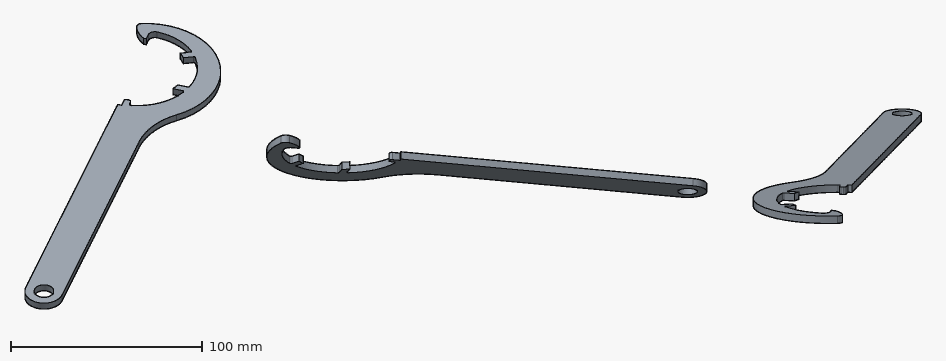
import cadquery as cq
import math

thickness = 4.0
overall_length = 239.0
handle_width = 20.0
handle_half = handle_width / 2
hole_diameter = 10.3

outer_radius = 39.7
outer_x = -4.8
outer_y = overall_length - handle_half - outer_radius
bore_radius = 31.3
bore_x = -9.3
bore_y = 191.0
neck_radius = 36.5

hook_end_x = -18.2
hook_side = (-19.8, 222.5)
claw_bulge = (-17.5, 218.5)
claw_y = 215.0
claw_left_x = -13.6
claw_right_x = -12.2
claw_root_fillet = 3.5

shoulder_y = 159.0
nose_left_x = -8.0
nose_right_x = -4.3
nose_top_y = 164.2
nose_fillet = 1.2

tooth_tip_radius = 25.3
tooth_root_fillet = 0.7
teeth = [(26.5, 6.5, 4.0), (0.0, -9.0, 3.8)]


def circle_height(radius, dx):
    """Half-chord of a circle at distance dx from its centre."""
    return math.sqrt(radius**2 - dx**2)


def round_corner(body, corner, radius):
    """Fillet the upright edge at an outline corner."""
    edge_middle = (*corner, thickness / 2)
    return body.edges(cq.selectors.NearestToPointSelector(edge_middle)).fillet(radius)


def make_body():
    """Handle, neck and hook as one extruded outline."""
    neck_x = handle_half + neck_radius
    centre_distance = outer_radius + neck_radius
    neck_y = outer_y - circle_height(centre_distance, neck_x - outer_x)
    share = outer_radius / centre_distance
    neck_top = (outer_x + share * (neck_x - outer_x), outer_y + share * (neck_y - outer_y))
    neck_angle = (math.pi + math.atan2(neck_top[1] - neck_y, neck_top[0] - neck_x)) / 2
    neck_middle = (
        neck_x + neck_radius * math.cos(neck_angle),
        neck_y + neck_radius * math.sin(neck_angle),
    )

    hook_end_y = outer_y + circle_height(outer_radius, hook_end_x - outer_x)
    bore_top_y = bore_y + circle_height(bore_radius, claw_right_x - bore_x)
    bore_foot_y = bore_y - circle_height(bore_radius, nose_right_x - bore_x)

    body = (
        cq.Workplane("XY")
        .moveTo(-handle_half, 0)
        .threePointArc((0, -handle_half), (handle_half, 0))
        .lineTo(handle_half, neck_y)
        .threePointArc(neck_middle, neck_top)
        .threePointArc((outer_x + outer_radius, outer_y), (outer_x, outer_y + outer_radius))
        .tangentArcPoint((hook_end_x, hook_end_y), relative=False)
        .tangentArcPoint(hook_side, relative=False)
        .threePointArc(claw_bulge, (claw_left_x, claw_y))
        .lineTo(claw_right_x, claw_y)
        .lineTo(claw_right_x, bore_top_y)
        .threePointArc((bore_x + bore_radius, bore_y), (nose_right_x, bore_foot_y))
        .lineTo(nose_right_x, nose_top_y)
        .lineTo(nose_left_x, nose_top_y)
        .lineTo(nose_left_x, shoulder_y)
        .lineTo(-handle_half, shoulder_y)
        .close()
        .extrude(thickness)
    )
    body = round_corner(body, (claw_right_x, bore_top_y), claw_root_fillet)
    for corner in (
        (nose_right_x, bore_foot_y),
        (nose_right_x, nose_top_y),
        (nose_left_x, nose_top_y),
    ):
        body = round_corner(body, corner, nose_fillet)
    return body


def add_tooth(body, angle, offset, width):
    """Add a straight tooth whose tip lies on a circle concentric with the bore."""
    root_radius = (bore_radius + outer_radius) / 2
    tip_space = cq.Workplane("XY").circle(tooth_tip_radius).extrude(thickness)
    tooth = (
        cq.Workplane("XY")
        .center(root_radius / 2, offset)
        .rect(root_radius, width)
        .extrude(thickness)
        .cut(tip_space)
        .rotate((0, 0, 0), (0, 0, 1), angle)
        .translate((bore_x, bore_y, 0))
    )
    body = body.union(tooth)

    turn = math.radians(angle)
    for side in (-1, 1):
        across = offset + side * width / 2
        along = circle_height(bore_radius, across)
        corner = (
            bore_x + along * math.cos(turn) - across * math.sin(turn),
            bore_y + along * math.sin(turn) + across * math.cos(turn),
        )
        body = round_corner(body, corner, tooth_root_fillet)
    return body


result = make_body()
for tooth_angle, tooth_offset, tooth_width in teeth:
    result = add_tooth(result, tooth_angle, tooth_offset, tooth_width)

hanging_hole = cq.Workplane("XY").circle(hole_diameter / 2).extrude(thickness)
result = result.cut(hanging_hole)